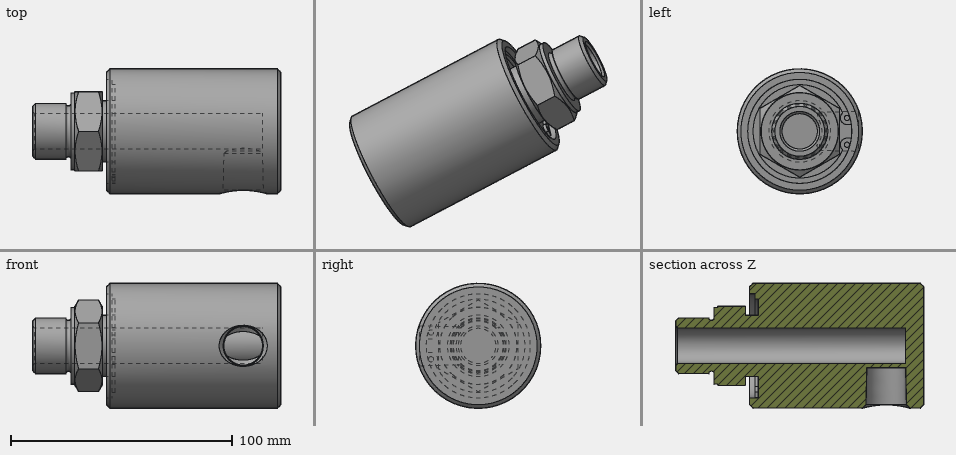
import cadquery as cq
import math


thread_diameter = 25.4
thread_chamfer = 1.5
thread_end_x = 15.2
undercut_edge_diameter = 24.4
undercut_deepest_x = 16.4
undercut_deepest_diameter = 23.2

flange_x = 17.3
flange_diameter = 34.8
hex_x = 19.0
hex_end_x = 31.7
hex_across_flats = 36.0
hex_chamfer_diameter = 35.1
hex_chamfer_angle = 30.0

collar_diameter = 27.9
body_x = 33.4
body_end_x = 112.4
body_diameter = 56.7
body_chamfer = 1.7

recess_diameter = 47.1
recess_depth = 2.5
ring_inner_diameter = 42.3
ring_thickness = 1.5
ring_x = body_x + recess_depth
recess_floor_x = ring_x + ring_thickness
ear_diameter = 6.0
ear_hole_diameter = 2.4
ear_y = -21.4
ear_z = 6.1

shaft_diameter = 20.0
bore_diameter = 16.0
bore_mouth_diameter = 18.0
port_x = 95.3
port_mouth_diameter = 18.2
port_diameter = 17.4
port_countersink_diameter = 21.8
port_shoulder_y = -9.0
port_tip_angle = 118.0


def disc(x_start, x_end, diameter):
    """Cylinder on the X axis between two stations."""
    return cq.Workplane("YZ", origin=(x_start, 0, 0)).circle(diameter / 2).extrude(x_end - x_start)


def make_spigot():
    """Chamfered thread blank followed by an undercut with a hollow arc profile."""
    thread_radius = thread_diameter / 2
    edge_radius = undercut_edge_diameter / 2
    profile = (
        cq.Workplane("XY")
        .lineTo(0, thread_radius - thread_chamfer)
        .lineTo(thread_chamfer, thread_radius)
        .lineTo(thread_end_x, thread_radius)
        .lineTo(thread_end_x, edge_radius)
        .threePointArc((undercut_deepest_x, undercut_deepest_diameter / 2), (flange_x, edge_radius))
        .lineTo(flange_x, 0)
        .close()
    )
    return profile.revolve(360, (0, 0, 0), (1, 0, 0))


def make_hexagon():
    """Hexagon with corners toward +Z and -Z, its corners turned off conically at both ends."""
    length = hex_end_x - hex_x
    corner_diameter = hex_across_flats / math.cos(math.pi / 6)
    prism = (
        cq.Workplane("YZ", origin=(hex_x, 0, 0))
        .transformed(rotate=(0, 0, 90))
        .polygon(6, corner_diameter)
        .extrude(length)
    )
    radial_chamfer = (corner_diameter - hex_chamfer_diameter) / 2
    axial_chamfer = radial_chamfer * math.tan(math.radians(hex_chamfer_angle))
    envelope = disc(hex_x, hex_end_x, corner_diameter).edges().chamfer(axial_chamfer, radial_chamfer)
    return prism.intersect(envelope)


def make_retaining_ring(x_start, x_end):
    """Open ring whose two ears, each with a plier hole, face -Y."""
    thickness = x_end - x_start
    ear_radius = ear_diameter / 2
    gap_width = 2 * (ear_z - ear_radius)
    ear_centres = [(ear_y, ear_z), (ear_y, -ear_z)]
    plane = cq.Workplane("YZ", origin=(x_start, 0, 0))
    ears = plane.pushPoints(ear_centres).circle(ear_radius).extrude(thickness)
    flank_length = recess_diameter / 2
    flanks = (
        plane.pushPoints([(y - flank_length / 2, z) for y, z in ear_centres])
        .rect(flank_length, ear_diameter)
        .extrude(thickness)
    )
    gap = plane.center(-recess_diameter / 2, 0).rect(recess_diameter, gap_width).extrude(thickness)
    holes = plane.pushPoints(ear_centres).circle(ear_hole_diameter / 2).extrude(thickness)
    outline = disc(x_start, x_end, recess_diameter)
    ring = outline.cut(disc(x_start, x_end, ring_inner_diameter)).cut(gap)
    return ring.union(ears).union(flanks).intersect(outline).cut(holes)


def make_body():
    """Chamfered housing with the recess and the retaining ring at its front end."""
    body = disc(body_x, body_end_x, body_diameter).edges().chamfer(body_chamfer)
    recess = disc(body_x, recess_floor_x, recess_diameter)
    return body.cut(recess).union(make_retaining_ring(ring_x, recess_floor_x))


def make_bore():
    """Blind axial bore with a 45 degree mouth, ending level with the far side of the port."""
    bore_radius = bore_diameter / 2
    mouth_radius = bore_mouth_diameter / 2
    bore_end_x = port_x + port_diameter / 2
    profile = [
        (0, 0),
        (0, mouth_radius),
        (mouth_radius - bore_radius, bore_radius),
        (bore_end_x, bore_radius),
        (bore_end_x, 0),
    ]
    return cq.Workplane("XY").polyline(profile).close().revolve(360, (0, 0, 0), (1, 0, 0))


def make_port():
    """Side port entering from -Y: countersink, slightly tapered hole and drill-point end.

    The shaft on the X axis stays standing where the drill point reaches it.
    """
    port_radius = port_diameter / 2
    mouth_radius = port_mouth_diameter / 2
    countersink_radius = port_countersink_diameter / 2
    surface_y = -body_diameter / 2
    tip_y = port_shoulder_y + port_radius / math.tan(math.radians(port_tip_angle / 2))
    profile = [
        (port_x, surface_y),
        (port_x + countersink_radius, surface_y),
        (port_x + mouth_radius, surface_y + countersink_radius - mouth_radius),
        (port_x + port_radius, port_shoulder_y),
        (port_x, tip_y),
    ]
    drilling = cq.Workplane("XY").polyline(profile).close().revolve(360, (port_x, 0, 0), (port_x, 1, 0))
    return drilling.cut(disc(body_x, body_end_x, shaft_diameter))


result = (
    make_body()
    .union(disc(hex_end_x, recess_floor_x, collar_diameter))
    .union(make_hexagon())
    .union(disc(flange_x, hex_x, flange_diameter))
    .union(make_spigot())
    .cut(make_bore())
    .cut(make_port())
)